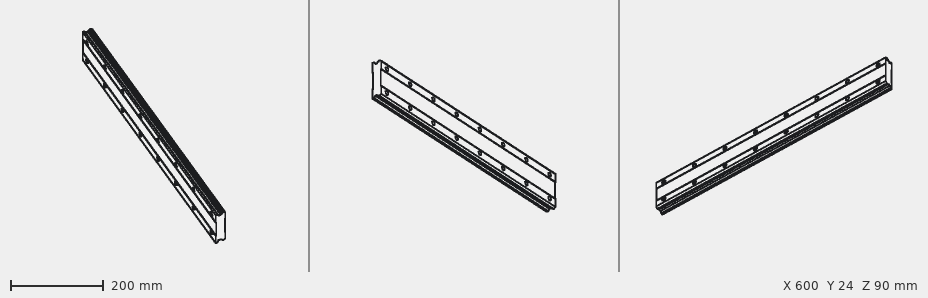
import cadquery as cq
import math

length = 600
thickness = 24
height = 90

relief_height = 42
relief_depth = 1.0

groove_depth = 5.0
ledge_depth = groove_depth / 2
ledge_width = 0.9
front_wall_angle = 60
back_wall_angle = 45

front_land = 4.5
back_land = 1.0

chamfer_width = 5.0
chamfer_angle = 35

holes_per_row = 8
hole_diameter = 9.0
end_margin_ratio = 0.25
hole_pitch = length / (holes_per_row - 1 + 2 * end_margin_ratio)
row_spacing = 60

front_y = -thickness / 2
back_y = thickness / 2
top_z = height / 2
chamfer_front_y = back_y - chamfer_width


def run(drop, angle):
    """Horizontal run of a wall that drops by the given depth at the given angle."""
    return drop / math.tan(math.radians(angle))


def long_prism(corners):
    """Full-length prism along X from (Y, Z) corners."""
    return cq.Workplane("YZ").polyline(corners).close().extrude(length / 2, both=True)


def groove_cutter():
    """Groove in the upper long edge."""
    groove_front_y = front_y + front_land
    groove_back_y = chamfer_front_y - back_land
    ledge_z = top_z - ledge_depth
    floor_z = top_z - groove_depth
    ledge_back_y = groove_back_y - run(ledge_depth, back_wall_angle)
    ledge_front_y = ledge_back_y - ledge_width
    return long_prism([
        (groove_front_y, top_z),
        (groove_front_y + run(groove_depth, front_wall_angle), floor_z),
        (ledge_front_y - run(groove_depth - ledge_depth, back_wall_angle), floor_z),
        (ledge_front_y, ledge_z),
        (ledge_back_y, ledge_z),
        (groove_back_y, top_z),
    ])


def chamfer_cutter():
    """Wedge that bevels the back corner of the upper long edge."""
    chamfer_height = chamfer_width * math.tan(math.radians(chamfer_angle))
    return long_prism([
        (chamfer_front_y, top_z),
        (back_y, top_z),
        (back_y, top_z - chamfer_height),
    ])


def relief_cutter(face_y):
    """Shallow full-length channel in the broad face at the given Y."""
    cutter = cq.Workplane("XY").box(length, 2 * relief_depth, relief_height)
    return cutter.translate((0, face_y, 0))


def mounting_holes():
    """Two rows of holes passing through the thickness."""
    return (
        cq.Workplane("XZ")
        .rarray(hole_pitch, row_spacing, holes_per_row, 2)
        .circle(hole_diameter / 2)
        .extrude(thickness, both=True)
    )


result = cq.Workplane("XY").box(length, thickness, height)

for cutter in (groove_cutter(), chamfer_cutter()):
    result = result.cut(cutter).cut(cutter.mirror("XY"))

for face_y in (front_y, back_y):
    result = result.cut(relief_cutter(face_y))

result = result.cut(mounting_holes())